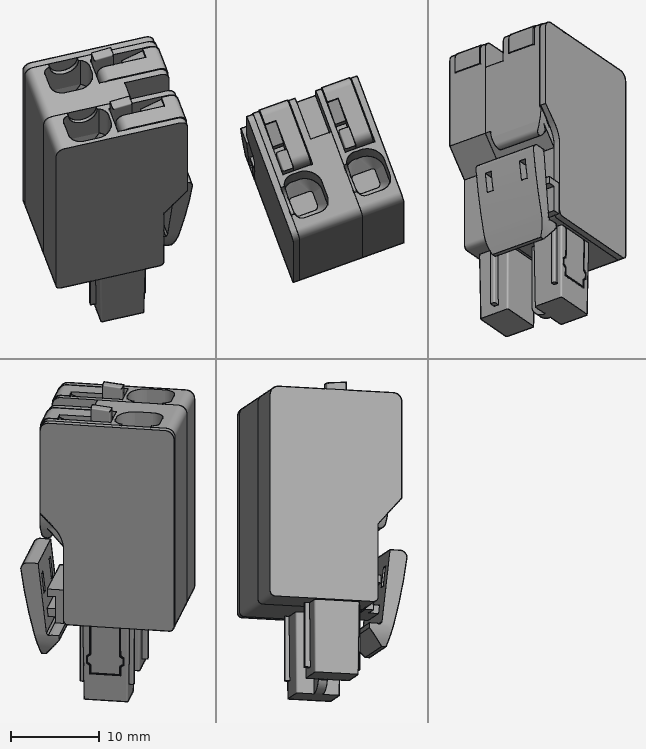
import cadquery as cq
import math

total_height = 35.0
body_height = 24.15
total_width = 13.3
cover_width = 0.77
double_width = 7.55
pole_pitch = 7.5
joint_x = cover_width + double_width

upper_depth = 15.47
cover_upper_depth = 15.35
lower_depth = 12.67
top_round = 1.0
bottom_round = 0.55

cover_slope_y = 13.7
cover_slope_low_z, cover_slope_high_z = 11.5, 13.2
cover_curve_y, cover_curve_z = 13.05, 10.65
cover_curve_low_z = 9.45
slope_low_z = 8.95
slope_high_z = 12.08

pocket_left, pocket_right, pocket_front = 1.5, 5.08, 7.5
pocket_depth = 2.8
slider_left, slider_right = 1.6, 4.97
slider_bar_left = 2.9
slider_front, slider_back = 7.88, 15.58
ramp_front, ramp_back = 11.13, 13.6
ramp_front_depth, ramp_back_depth = 1.25, 0.3
pin_left, pin_right = 1.58, 2.85
pin_front, pin_back = 7.55, 9.85
pin_rise_front = 1.33
pin_edge_round = 0.15

mouth_bounds = (1.25, 5.35, 2.0, 7.15)
mouth_corners = [(1.55, 0.75), (2.45, 1.75), (1.5, 1.33), (0.8, 0.8)]
floor_bounds = (1.55, 4.35, 3.43, 5.7)
floor_corners = [(0.35, 0.35), (0.35, 0.35), (0.52, 0.52), (0.52, 0.52)]
well_depth = 4.2
funnel_depth = 1.22
scallop_radius = 1.68
scallop_y = 4.48
scallop_reach = 0.7

notch_left, notch_front, notch_depth = 5.85, 10.25, 3.5

plug_front, plug_back = 5.4, 10.68
plug_taper = 0.7
plug_edge_round = 0.2
plug_a_left, plug_a_right, plug_a_length = 1.15, 5.15, 9.3
pin_rise_back = total_height - body_height - plug_a_length
plug_b_left, plug_b_right, plug_b_length = 8.65, 12.75, 8.33
rib_length = 7.4
rib_round = 0.18
rib_a_left, rib_a_width, rib_a_front, rib_a_back = 1.85, 0.45, 4.95, 11.1
rib_b_left, rib_b_width, rib_b_front, rib_b_back = 10.08, 0.55, 4.83, 11.3
web_right, web_front, web_back = 6.85, 7.52, 8.58
web_overlap = 0.35
web_corner_width, web_corner_height = 1.58, 1.3
web_corner_inset_x, web_corner_rise = 0.63, 0.4

window_front, window_back, window_bottom = 6.35, 9.87, -6.2
window_bump = 0.4
bump_top, bump_bottom, bump_shoulder = -3.8, -5.18, 0.28
groove_width = 0.1
groove_depth = 0.2
window_top = 0.35

latch_left, latch_width = 0.1, 8.0
latch_middle = latch_left + latch_width / 2
latch_back = 17.57
latch_top = 7.15
latch_top_front = 15.58
latch_top_round_y, latch_round_low_z = 16.75, 6.37
latch_round_middle = (17.32, 6.9)
arm_low_y, arm_low_z = 14.63, -1.2
foot_top, foot_bottom = -1.4, -3.92
foot_dip = (14.42, -1.47)
foot_dip_front = 14.0
foot_front, foot_front_low_z = 13.15, -1.95
foot_tip_front, foot_tip_back = 14.77, 15.3
foot_back = 16.03
plate_back = 13.6
plate_low_z, plate_high_z = 0.1, 4.13
hook_back, hook_low_z = 14.52, 3.25
bridge_front, bridge_back, bridge_high_z = 13.48, 15.05, 1.1
flank_radius = 5.25
bridge_width = 4.2
arm_slot_left, arm_slot_width = 1.33, 0.8
arm_slot_bottom, arm_slot_top = 3.15, 5.45

catch_left = 0.6
catch_width = 2 * (latch_middle - catch_left)
catch_bottom = 9.8
catch_flank_top = 12.5
catch_front = 13.6
catch_back_low_z = 11.2
catch_round_back, catch_round_middle, catch_round_front = (15.33, 10.25), (14.8, catch_bottom), (14.25, 10.15)
catch_gap = 0.2


def block(x0, x1, y0, y1, z0, z1):
    """Box between two corners."""
    return cq.Workplane("XY").box(x1 - x0, y1 - y0, z1 - z0, centered=False).translate((x0, y0, z0))


def side_profile(x0):
    """Workplane in the Y-Z plane at the given X."""
    return cq.Workplane("YZ", origin=(x0, 0, 0))


def round_body_edges(body, back_y):
    """Round the top and bottom edges that run along X at the front and back of a body."""
    for y, z, radius in (
        (0, body_height, top_round),
        (back_y, body_height, top_round),
        (0, 0, bottom_round),
        (lower_depth, 0, bottom_round),
    ):
        near = cq.selectors.BoxSelector((-0.35, y - 0.35, z - 0.35), (total_width + 0.35, y + 0.35, z + 0.35))
        body = body.edges(near).edges("|X").fillet(radius)
    return body


def housing_shell(x0, x1):
    """Plain housing block with the sloped cut-out at the back."""
    shell = (
        side_profile(x0)
        .polyline([
            (0, 0),
            (lower_depth, 0),
            (lower_depth, slope_low_z),
            (upper_depth, slope_high_z),
            (upper_depth, body_height),
            (0, body_height),
        ])
        .close()
        .extrude(x1 - x0)
    )
    return round_body_edges(shell, upper_depth)


def draw_entry(plane, bounds, corners):
    """Closed wire of a rectangle whose corners are quarter ellipses.

    bounds holds left, right, front and back.
    corners holds (X size, Y size) for back-left, back-right, front-right and front-left.
    """
    left, right, front, back = bounds
    (blx, bly), (brx, bry), (frx, fry), (flx, fly) = corners
    bulge = 1 - math.sqrt(0.5)
    return (
        plane.moveTo(left, front + fly)
        .lineTo(left, back - bly)
        .threePointArc((left + bulge * blx, back - bulge * bly), (left + blx, back))
        .lineTo(right - brx, back)
        .threePointArc((right - bulge * brx, back - bulge * bry), (right, back - bry))
        .lineTo(right, front + fry)
        .threePointArc((right - bulge * frx, front + bulge * fry), (right - frx, front))
        .lineTo(left + flx, front)
        .threePointArc((left + bulge * flx, front + bulge * fly), (left, front + fly))
        .close()
    )


def conductor_entry(shift, wall_x):
    """Upright well with a funnel below it, and a scallop reaching sideways to the housing wall."""
    well = cq.Workplane("XY", origin=(shift, 0, body_height))
    well = draw_entry(well, mouth_bounds, mouth_corners).extrude(-well_depth)
    funnel = cq.Workplane("XY", origin=(shift, 0, body_height - well_depth))
    funnel = draw_entry(funnel, mouth_bounds, mouth_corners).workplane(offset=-funnel_depth)
    funnel = draw_entry(funnel, floor_bounds, floor_corners).loft(ruled=True)
    scallop = side_profile(wall_x).center(scallop_y, body_height).circle(scallop_radius)
    scallop = scallop.extrude(scallop_reach)
    return well.union(funnel).union(scallop)


def slider_pocket(shift):
    """Recess for a slider and its release pin, open at the top and the back."""
    return block(
        pocket_left + shift, pocket_right + shift,
        pocket_front, upper_depth,
        body_height - pocket_depth, body_height,
    )


def plug_shell(left, right, length):
    """Tapered plug with rounded upright edges, hanging from the underside."""
    return (
        cq.Workplane("XY")
        .center((left + right) / 2, (plug_front + plug_back) / 2)
        .rect(right - left, plug_back - plug_front)
        .extrude(-length, taper=plug_taper)
        .edges("not #Z")
        .fillet(plug_edge_round)
    )


def plug_rib(left, width, front, back):
    """Guide rib through the plug that stands out at its front and back, rounded on the left."""
    return block(left, left + width, front, back, -rib_length, 0).edges("|Z and <X").fillet(rib_round)


def plug_web():
    """Thin web on the right of the first plug, with a rounded lower corner."""
    web_left = plug_a_right - web_overlap
    bottom = -plug_a_length
    return (
        cq.Workplane("XZ", origin=(0, web_back, 0))
        .moveTo(web_left, 0)
        .lineTo(web_left, bottom)
        .lineTo(web_right - web_corner_width, bottom)
        .threePointArc(
            (web_right - web_corner_inset_x, bottom + web_corner_rise),
            (web_right, bottom + web_corner_height),
        )
        .lineTo(web_right, 0)
        .close()
        .extrude(web_back - web_front)
    )


def window_prism(inset, x1):
    """Prism with the outline of the contact window, from the plug's left side to x1."""
    front_bump = window_front - window_bump
    back_bump = window_back + window_bump
    outline = side_profile(plug_a_left).polyline([
        (window_front, window_top),
        (window_front, bump_top),
        (front_bump, bump_top - bump_shoulder),
        (front_bump, bump_bottom + bump_shoulder),
        (window_front, bump_bottom),
        (window_front, window_bottom),
        (window_back, window_bottom),
        (window_back, bump_bottom),
        (back_bump, bump_bottom + bump_shoulder),
        (back_bump, bump_top - bump_shoulder),
        (window_back, bump_top),
        (window_back, window_top),
    ]).close()
    if inset > 0:
        outline = outline.offset2D(-inset)
    return outline.extrude(x1 - plug_a_left)


def window_groove():
    """Narrow groove along the outline of the contact window, below the housing."""
    groove_x = plug_a_left + groove_depth
    below_housing = block(0, plug_a_right, 0, lower_depth, -plug_a_length, 0)
    return window_prism(0, groove_x).cut(window_prism(groove_width, groove_x)).intersect(below_housing)


def flank_envelope(left, right, top, straight_bottom, bottom):
    """Block through the whole depth whose sides curve inwards below straight_bottom."""
    drop = straight_bottom - bottom

    def inset(depth):
        return flank_radius - math.sqrt(flank_radius**2 - depth**2)

    return (
        cq.Workplane("XZ", origin=(0, latch_back, 0))
        .moveTo(left, top)
        .lineTo(left, straight_bottom)
        .threePointArc((left + inset(drop / 2), straight_bottom - drop / 2), (left + inset(drop), bottom))
        .lineTo(right - inset(drop), bottom)
        .threePointArc((right - inset(drop / 2), straight_bottom - drop / 2), (right, straight_bottom))
        .lineTo(right, top)
        .close()
        .extrude(latch_back)
    )


def catch():
    """Rounded catch that hangs from the sloped cut-out."""
    slope = (cover_slope_high_z - cover_slope_low_z) / (cover_upper_depth - cover_slope_y)

    def top_z(y):
        return cover_slope_low_z - catch_gap + slope * (y - cover_slope_y)

    profile = (
        side_profile(catch_left)
        .moveTo(upper_depth, top_z(upper_depth))
        .lineTo(upper_depth, catch_back_low_z)
        .lineTo(*catch_round_back)
        .threePointArc(catch_round_middle, catch_round_front)
        .lineTo(catch_front, top_z(catch_front))
        .close()
        .extrude(catch_width)
    )
    right = catch_left + catch_width
    envelope = flank_envelope(catch_left, right, body_height, catch_flank_top, catch_bottom)
    return profile.intersect(envelope)


def make_cover():
    """End plate with a sloped and curved cut-out at the back."""
    plate = (
        side_profile(0)
        .moveTo(0, 0)
        .lineTo(lower_depth, 0)
        .lineTo(lower_depth, cover_curve_low_z)
        .threePointArc((cover_curve_y, cover_curve_z), (cover_slope_y, cover_slope_low_z))
        .lineTo(cover_upper_depth, cover_slope_high_z)
        .lineTo(cover_upper_depth, body_height)
        .lineTo(0, body_height)
        .close()
        .extrude(cover_width)
    )
    return round_body_edges(plate, cover_upper_depth)


def make_double_housing():
    """Housing of the first pole, with the top notch, the catch and the longer plug."""
    notch = block(
        notch_left, joint_x, notch_front, upper_depth, body_height - notch_depth, body_height
    )
    return (
        housing_shell(cover_width, joint_x)
        .union(catch())
        .cut(notch)
        .cut(slider_pocket(0))
        .cut(conductor_entry(0, cover_width))
        .union(plug_shell(plug_a_left, plug_a_right, plug_a_length))
        .union(plug_rib(rib_a_left, rib_a_width, rib_a_front, rib_a_back))
        .union(plug_web())
        .cut(window_groove())
    )


def make_end_housing():
    """Narrow housing of the second pole, with the shorter plug."""
    return (
        housing_shell(joint_x, total_width)
        .cut(slider_pocket(pole_pitch))
        .cut(conductor_entry(pole_pitch, joint_x))
        .union(plug_shell(plug_b_left, plug_b_right, plug_b_length))
        .union(plug_rib(rib_b_left, rib_b_width, rib_b_front, rib_b_back))
    )


def make_slider(shift):
    """L-shaped slider: a bar with rounded ends, and a ramped head at the back."""
    floor_z = body_height - pocket_depth
    bar = block(slider_bar_left, slider_right, slider_front, slider_back, floor_z, body_height)
    head = block(slider_left, slider_right, ramp_front, slider_back, floor_z, body_height)
    ramp = (
        side_profile(slider_left)
        .polyline([
            (ramp_front, body_height),
            (ramp_front, body_height - ramp_front_depth),
            (ramp_back, body_height - ramp_back_depth),
            (ramp_back, body_height),
        ])
        .close()
        .extrude(slider_bar_left - slider_left)
    )
    bar = bar.edges("|X and >Z").fillet(top_round)
    head = head.edges("|X and >Z and >Y").fillet(top_round)
    return bar.union(head.cut(ramp)).translate((shift, 0, 0))


def make_pin(shift):
    """Release pin standing on the pocket floor, with a sloped top and rounded sides."""
    pin = (
        side_profile(pin_left)
        .polyline([
            (pin_front, body_height - pocket_depth),
            (pin_back, body_height - pocket_depth),
            (pin_back, body_height + pin_rise_back),
            (pin_front, body_height + pin_rise_front),
        ])
        .close()
        .extrude(pin_right - pin_left)
    )
    return pin.faces("|X").edges("not <Z").fillet(pin_edge_round).translate((shift, 0, 0))


def make_latch():
    """Lever arm with a hooked foot, joined by a bridge to a mounting plate."""
    arm = (
        side_profile(latch_left)
        .moveTo(latch_top_front, latch_top)
        .lineTo(arm_low_y, arm_low_z)
        .lineTo(*foot_dip)
        .lineTo(foot_dip_front, foot_top)
        .lineTo(foot_front, foot_top)
        .lineTo(foot_front, foot_front_low_z)
        .lineTo(foot_tip_front, foot_bottom)
        .lineTo(foot_tip_back, foot_bottom)
        .threePointArc((foot_back, foot_top), (latch_back, latch_round_low_z))
        .threePointArc(latch_round_middle, (latch_top_round_y, latch_top))
        .close()
        .extrude(latch_width)
    )
    right = latch_left + latch_width
    arm = arm.intersect(flank_envelope(latch_left, right, latch_top, foot_top, foot_bottom))
    slot = block(0, arm_slot_width, lower_depth, latch_back, arm_slot_bottom, arm_slot_top)
    for left in (arm_slot_left, 2 * latch_middle - arm_slot_left - arm_slot_width):
        arm = arm.cut(slot.translate((left, 0, 0)))
    plate = (
        side_profile(latch_left)
        .polyline([
            (lower_depth, plate_low_z),
            (lower_depth, plate_high_z),
            (hook_back, plate_high_z),
            (hook_back, hook_low_z),
            (plate_back, hook_low_z),
            (plate_back, plate_low_z),
        ])
        .close()
        .extrude(latch_width)
    )
    bridge_left = latch_middle - bridge_width / 2
    bridge = block(
        bridge_left, bridge_left + bridge_width, bridge_front, bridge_back, plate_low_z, bridge_high_z
    )
    return arm.union(plate).union(bridge)


cover = make_cover()
double_housing = make_double_housing()
end_housing = make_end_housing()
latch = make_latch()
pole_shifts = [0, pole_pitch]
sliders = [make_slider(shift) for shift in pole_shifts]
pins = [make_pin(shift) for shift in pole_shifts]

result = cq.Compound.makeCompound([
    cover.val(),
    double_housing.val(),
    end_housing.val(),
    latch.val(),
    *[slider.val() for slider in sliders],
    *[pin.val() for pin in pins],
])